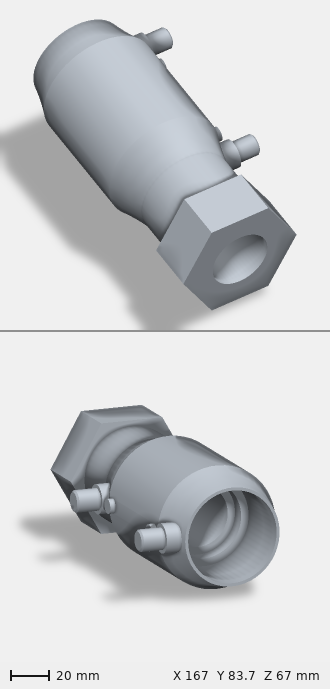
import cadquery as cq
import math

overall_length = 167.0
cone_length = 22.0
barrel_length = 67.0
nut_length = 28.0

barrel_diameter = 67.0
pipe_diameter = 53.6
cone_sag = 0.5

inlet_diameter = 50.3
inlet_depth = 38.7
seat_diameter = 41.8
seat_depth = 8.4
port_diameter = 33.4

nut_across_flats = 60.0
nut_across_corners = nut_across_flats / math.cos(math.pi / 6)

collar_diameter = 16.0
collar_top = 35.9
stem_diameter = 12.0
stem_top = 49.1
stem_chamfer = 1.0

pad_diameter = 8.0
pad_top = 36.4
pad_inset = 5.0

barrel_start = cone_length
barrel_end = barrel_start + barrel_length
neck_start = barrel_end + cone_length
nut_start = overall_length - nut_length
barrel_radius = barrel_diameter / 2
pipe_radius = pipe_diameter / 2
fitting_base = (inlet_diameter + pipe_diameter) / 4


def make_body():
    """Solid of revolution: barrel between two hollow-curved cones, then the neck."""
    slant = math.hypot(cone_length, barrel_radius - pipe_radius)
    sag_radial = cone_sag * cone_length / slant
    sag_axial = cone_sag * (barrel_radius - pipe_radius) / slant
    cone_middle_radius = (pipe_radius + barrel_radius) / 2 - sag_radial
    first_middle = cone_length / 2 + sag_axial
    second_middle = barrel_end + cone_length / 2 - sag_axial
    return (
        cq.Workplane("XY")
        .lineTo(0, pipe_radius)
        .threePointArc((first_middle, cone_middle_radius), (barrel_start, barrel_radius))
        .lineTo(barrel_end, barrel_radius)
        .threePointArc((second_middle, cone_middle_radius), (neck_start, pipe_radius))
        .lineTo(nut_start, pipe_radius)
        .lineTo(nut_start, 0)
        .close()
        .revolve(360, (0, 0), (1, 0))
    )


def make_nut():
    """Hexagon prism at the +X end."""
    return (
        cq.Workplane("YZ", origin=(nut_start, 0, 0))
        .polygon(6, nut_across_corners)
        .extrude(nut_length)
    )


def side_cylinder(x, diameter, top):
    """Round post pointing along +Y, from inside the wall to the given height."""
    return (
        cq.Workplane("XZ", origin=(x, fitting_base, 0))
        .circle(diameter / 2)
        .extrude(fitting_base - top)
    )


def make_stem(x):
    """Chamfered stem standing on a wider collar."""
    collar = side_cylinder(x, collar_diameter, collar_top)
    stem = side_cylinder(x, stem_diameter, stem_top).faces(">Y").chamfer(stem_chamfer)
    return collar.union(stem)


def bore(diameter, depth):
    """Round cutter along the axis, from the open pipe end."""
    return cq.Workplane("YZ").circle(diameter / 2).extrude(depth)


result = make_body().union(make_nut())

for stem_x in (barrel_start - cone_length / 2, barrel_end + cone_length / 2):
    result = result.union(make_stem(stem_x))

for pad_x in (barrel_start + pad_inset, barrel_end - pad_inset):
    result = result.union(side_cylinder(pad_x, pad_diameter, pad_top))

result = (
    result
    .cut(bore(inlet_diameter, inlet_depth))
    .cut(bore(seat_diameter, inlet_depth + seat_depth))
    .cut(bore(port_diameter, overall_length))
)